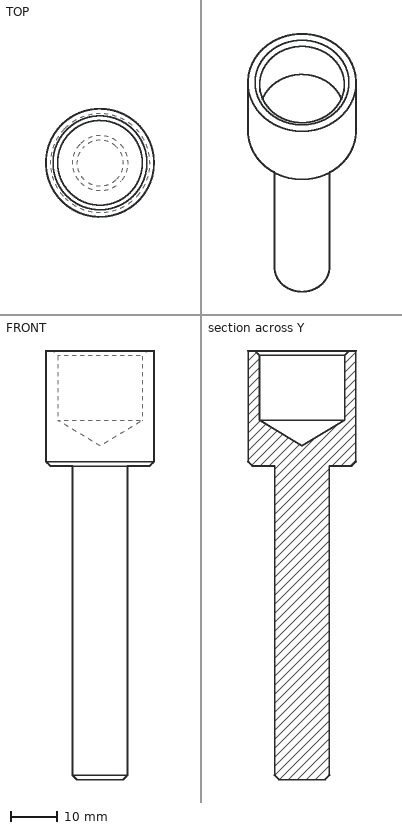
import cadquery as cq
import math

total_length = 93.0

head_diameter = 23.5
head_length = 25.0
head_chamfer = 1.0

shank_diameter = 12.0
shank_chamfer = 1.0
shank_length = total_length - head_length

bore_diameter = 18.38
bore_chamfer = 1.0
bore_depth = 15.0
drill_point_angle = 118.0


def chamfered_pin(diameter, length, chamfer, bottom_z):
    """Vertical cylinder with its bottom edge chamfered."""
    pin = cq.Workplane("XY").workplane(offset=bottom_z).circle(diameter / 2).extrude(length)
    return pin.faces("<Z").edges().chamfer(chamfer)


def bore_cutter():
    """Bore with a 45 degree countersunk mouth and a conical bottom, revolved about Z."""
    bore_radius = bore_diameter / 2
    mouth_radius = bore_radius + bore_chamfer
    point_height = bore_radius / math.tan(math.radians(drill_point_angle / 2))
    cone_start_z = total_length - bore_depth
    profile = (
        cq.Workplane("XZ")
        .moveTo(0, total_length)
        .lineTo(mouth_radius, total_length)
        .lineTo(bore_radius, total_length - bore_chamfer)
        .lineTo(bore_radius, cone_start_z)
        .lineTo(0, cone_start_z - point_height)
        .close()
    )
    return profile.revolve(360, (0, 0, 0), (0, 1, 0))


shank = chamfered_pin(shank_diameter, shank_length, shank_chamfer, 0)
head = chamfered_pin(head_diameter, head_length, head_chamfer, shank_length)

result = shank.union(head).cut(bore_cutter())